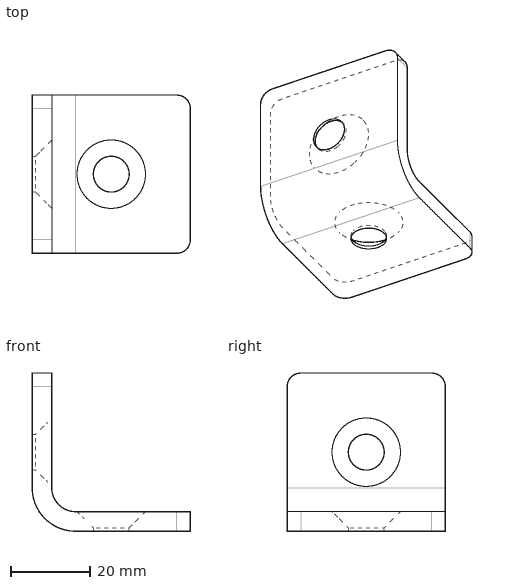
import cadquery as cq

leg_length = 40.0
width = 40.0
thickness = 5.0

inner_bend_radius = 6.0
outer_bend_radius = inner_bend_radius + thickness
corner_radius = 3.5

hole_diameter = 9.0
countersink_diameter = 17.3
countersink_angle = 90.0
hole_offset = leg_length / 2


def bent_plate():
    """L-shaped profile in XZ, extruded along Y, with a rounded bend along the Y axis."""
    profile = (
        cq.Workplane("XZ")
        .moveTo(0, outer_bend_radius)
        .radiusArc((outer_bend_radius, 0), -outer_bend_radius)
        .lineTo(leg_length, 0)
        .lineTo(leg_length, thickness)
        .lineTo(outer_bend_radius, thickness)
        .radiusArc((thickness, outer_bend_radius), inner_bend_radius)
        .lineTo(thickness, leg_length)
        .lineTo(0, leg_length)
        .close()
    )
    return profile.extrude(width / 2, both=True)


def round_free_corners(plate):
    """Round the two corners at the free end of each leg."""
    plate = plate.faces(">X").edges("|Z").fillet(corner_radius)
    return plate.faces(">Z").edges("|X").fillet(corner_radius)


def countersunk_hole(plate, inner_face):
    """Cut a through hole that widens towards the given inner face of a leg."""
    return plate.copyWorkplane(inner_face).cskHole(hole_diameter, countersink_diameter, countersink_angle)


base_leg_face = cq.Workplane("XY", origin=(hole_offset, 0, thickness))
upright_leg_face = cq.Workplane("YZ", origin=(thickness, 0, hole_offset))

result = round_free_corners(bent_plate())
for leg_face in (base_leg_face, upright_leg_face):
    result = countersunk_hole(result, leg_face)